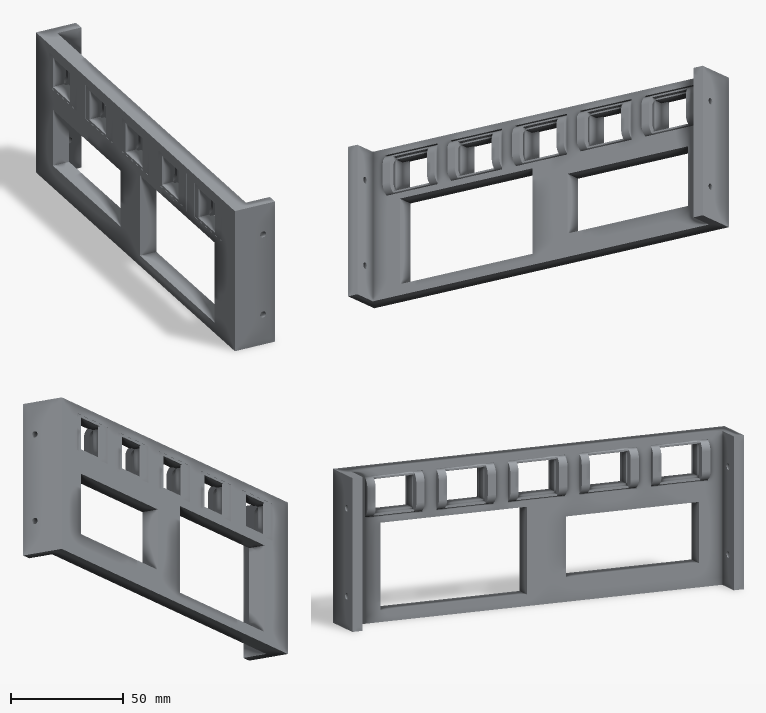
import cadquery as cq

LENGTH = 192.5
HEIGHT = 70.0
DEPTH = 20.0
PANEL_THICKNESS = 8.0
EAR_THICKNESS = 5.0

SCREW_DIAMETER = 2.9
SCREW_FROM_BACK = 6.0
SCREW_FROM_EDGE = 15.0

SMALL_OPENING = {"left": 16.4, "bottom": 11.0, "width": 65.5, "height": 28.0}
LARGE_OPENING = {"left": 100.9, "bottom": 5.2, "width": 72.0, "height": 40.0}

INSERT_COUNT = 5
INSERT_LENGTH = 28.1
INSERT_HEIGHT = 19.0
INSERT_DEPTH = 10.4
INSERT_CENTER_Z = 57.5
ROW_MARGIN = 12.0
INSERT_PITCH = (LENGTH - 2 * ROW_MARGIN - INSERT_LENGTH) / (INSERT_COUNT - 1)
FIRST_INSERT_X = -LENGTH / 2 + ROW_MARGIN + INSERT_LENGTH / 2

END_WALL = 4.0
FRONT_WALL = 1.0
CORNER_RADIUS = 4.8
CAVITY_LENGTH = INSERT_LENGTH - 2 * END_WALL

FACE_BORDER = 1.05
FACE_RECESS = 0.1

WINDOW_LENGTH = 16.2
WINDOW_HEIGHT = 14.6
WINDOW_FROM_LEFT = 4.5
WINDOW_X = -INSERT_LENGTH / 2 + WINDOW_FROM_LEFT + WINDOW_LENGTH / 2

STEP_START = 5.8
STEP_DROP = 0.8
CATCH_END = 7.7
CATCH_DEPTH = 2.0
CATCH_CORNER_RADIUS = 6.0 / 2


def block(length, height, y_start, y_end, x=0, z=0):
    """Box centred on x and z that spans y_start to y_end."""
    depth = y_end - y_start
    return cq.Workplane("XY").box(length, depth, height).translate((x, y_start + depth / 2, z))


def round_back_corners(body, radius):
    return body.faces(">Y").edges("|X").fillet(radius)


def panel_opening(left, bottom, width, height):
    x = left + width / 2 - LENGTH / 2
    return block(width, height, 0, PANEL_THICKNESS, x, bottom + height / 2)


def screw_hole(z):
    axis = cq.Workplane("YZ").center(DEPTH - SCREW_FROM_BACK, z)
    return axis.circle(SCREW_DIAMETER / 2).extrude(LENGTH / 2, both=True)


def make_housing(insert_spots):
    middle = HEIGHT / 2
    body = block(LENGTH, HEIGHT, 0, DEPTH, z=middle)
    body = body.cut(block(LENGTH - 2 * EAR_THICKNESS, HEIGHT, PANEL_THICKNESS, DEPTH, z=middle))
    for opening in (SMALL_OPENING, LARGE_OPENING):
        body = body.cut(panel_opening(**opening))
    for z in (SCREW_FROM_EDGE, HEIGHT - SCREW_FROM_EDGE):
        body = body.cut(screw_hole(z))
    insert_slot = block(INSERT_LENGTH, INSERT_HEIGHT, 0, PANEL_THICKNESS)
    for spot in insert_spots:
        body = body.cut(insert_slot.translate(spot))
    return body


def jack_cavity():
    """Window, cavity and the taller stretch at the back that leaves only the end walls."""
    window = block(WINDOW_LENGTH, WINDOW_HEIGHT, 0, INSERT_DEPTH, x=WINDOW_X)
    cavity = block(CAVITY_LENGTH, WINDOW_HEIGHT, FRONT_WALL, INSERT_DEPTH)
    step = block(CAVITY_LENGTH, WINDOW_HEIGHT + 2 * STEP_DROP, STEP_START, INSERT_DEPTH)
    behind_panel = block(CAVITY_LENGTH, INSERT_HEIGHT, PANEL_THICKNESS, INSERT_DEPTH)
    return window.union(cavity).union(step).union(behind_panel)


def catch_slots():
    """Undercut into both end walls, with its back corners rounded."""
    length = CAVITY_LENGTH + 2 * CATCH_DEPTH
    rounded = round_back_corners(block(length, WINDOW_HEIGHT, 0, CATCH_END), CATCH_CORNER_RADIUS)
    return rounded.cut(block(length, WINDOW_HEIGHT, 0, STEP_START))


def make_insert():
    """Insert centred on the origin in X and Z, with its front face at Y = 0."""
    body = round_back_corners(block(INSERT_LENGTH, INSERT_HEIGHT, 0, INSERT_DEPTH), CORNER_RADIUS)
    face_length = INSERT_LENGTH - 2 * FACE_BORDER
    face_height = INSERT_HEIGHT - 2 * FACE_BORDER
    body = body.cut(block(face_length, face_height, 0, FACE_RECESS))
    return body.cut(jack_cavity()).cut(catch_slots())


spots = [(FIRST_INSERT_X + i * INSERT_PITCH, 0, INSERT_CENTER_Z) for i in range(INSERT_COUNT)]
housing = make_housing(spots)
inserts = [make_insert().translate(spot) for spot in spots]

bodies = [housing, *inserts]
result = cq.Compound.makeCompound([body.solids().val() for body in bodies])